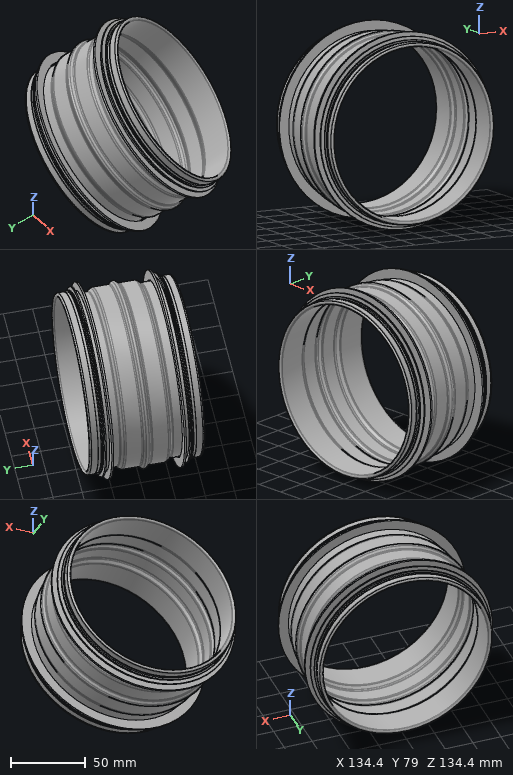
import cadquery as cq

wall = 0.5
tube_radius = 124.1 / 2
neck_radius = 119.3 / 2
half_length = 39.5
cone_neck_end = 18.0
cone_tube_end = 15.2
cone_neck_bend = 1.01
cone_tube_bend = 2.0

curl_radius = (tube_radius - neck_radius + wall) / 2
curl_base = half_length - curl_radius
hem_end = 33.6

bead_peak_radius = 64.4
bead_half_width = 3.1
bead_crest_bend = 1.6
bead_foot_bend = 1.6

seal_radius = tube_radius - wall
seal_bore_radius = 120.5 / 2
seal_end = curl_base
flange_start = 24.2

flange = (67.2, flange_start, 1.3, 0.3)
lip = (129.5 / 2, 28.5, 1.0, 0.3)
small_lip = (125.5 / 2, 30.7, 1.0, 0.0)

tolerance = 1.34e-06


def bend(wire, radius, corner_radius, corner_height):
    """Round the corners of a path at the given radius and distance from the middle."""
    corners = [
        v for v in wire.Vertices()
        if abs(v.X - corner_radius) < tolerance and abs(abs(v.Y) - corner_height) < tolerance
    ]
    return wire.fillet(radius, corners)


def make_tube():
    """Tube with a hem at each end, two necks and a middle bead, all of one wall thickness."""
    mid_tube = tube_radius - wall / 2
    mid_neck = neck_radius - wall / 2
    mid_curl = curl_radius - wall / 2

    half = [
        (mid_tube, bead_half_width),
        (mid_tube, cone_tube_end),
        (mid_neck, cone_neck_end),
        (mid_neck, curl_base),
    ]
    mirrored_half = [(x, -y) for x, y in reversed(half)]
    path = cq.Workplane("XY").polyline(mirrored_half + [(bead_peak_radius, 0)] + half).wire().val()
    path = bend(path, cone_tube_bend, mid_tube, cone_tube_end)
    path = bend(path, cone_neck_bend, mid_neck, cone_neck_end)
    path = bend(path, bead_foot_bend, mid_tube, bead_half_width)
    path = bend(path, bead_crest_bend, bead_peak_radius, 0)

    edges = path.Edges()
    for side in (-1, 1):
        curl_start = cq.Vector(mid_neck, side * curl_base)
        curl_top = cq.Vector(mid_neck + mid_curl, side * (curl_base + mid_curl))
        curl_stop = cq.Vector(mid_tube, side * curl_base)
        hem_stop = cq.Vector(mid_tube, side * hem_end)
        edges.append(cq.Edge.makeThreePointArc(curl_start, curl_top, curl_stop))
        edges.append(cq.Edge.makeLine(curl_stop, hem_stop))
    section = cq.Wire.assembleEdges(edges).offset2D(wall / 2, "intersection")
    tube = cq.Workplane("XY").newObject(section).toPending().revolve(360, (0, 0), (0, 1))

    for side in (-1, 1):
        trim = (
            cq.Workplane("XY")
            .center(mid_tube, side * (hem_end - wall / 2))
            .rect(2 * wall, wall)
            .revolve(360, (-mid_tube, 0), (-mid_tube, 1))
        )
        tube = tube.cut(trim)
    return tube.solids()


def make_seal(side):
    """Sleeve with two lips and a flange at its inner end; the flange and larger lip taper on the rim side."""
    outline = []
    for radius, start, thickness, root_taper in (flange, lip, small_lip):
        outline.append((seal_radius, start))
        outline.append((radius, start))
        outline.append((radius, start + thickness))
        outline.append((seal_radius, start + thickness + root_taper))
    outline += [(seal_radius, seal_end), (seal_bore_radius, seal_end), (seal_bore_radius, flange_start)]
    section = cq.Workplane("XY").polyline([(x, side * y) for x, y in outline]).close()
    return section.revolve(360, (0, 0), (0, 1))


tube = make_tube()
seals = [make_seal(side) for side in (-1, 1)]

result = cq.Compound.makeCompound([tube.val(), *[seal.val() for seal in seals]])